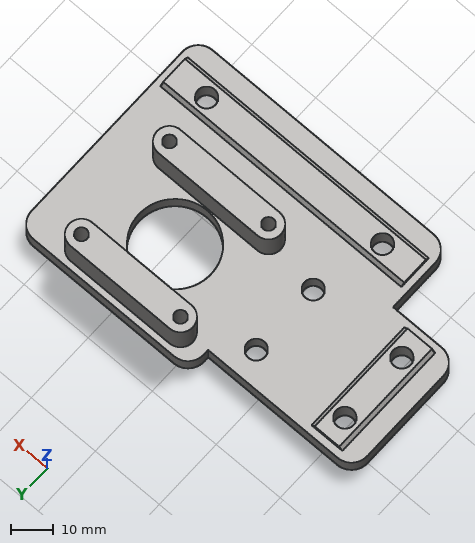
import cadquery as cq

plate_length = 99.2
plate_width = 63.0
plate_thickness = 5.0
corner_radius = 5.0
main_left = 20.1
upper_left = 45.3
tongue_front = 19.8
tongue_back = 56.5

rail_height = 1.0
rail_base_width = 9.6
rail_top_width = rail_base_width - 2 * rail_height
rail_edge_offset = 10.0
edge_margin = 1.9
front_rail_length = plate_length - main_left - 2 * edge_margin
front_rail_x = (main_left + plate_length) / 2
side_rail_length = 32.6
side_rail_y = (tongue_front + tongue_back) / 2

screw_diameter = 5.5
tongue_screw_spacing = 20.0
front_screw_spacing = 55.0
middle_screw_x = 37.0
middle_screw_y = 39.0

motor_x = 68.6
motor_y = 42.0
motor_opening_diameter = 22.5
motor_screw_spacing = 31.0
motor_screw_diameter = 3.5
bar_width = 7.7
bar_length = motor_screw_spacing + bar_width
bar_top = 15.0


def make_plate():
    """Stepped plate whose four outer corners and two tongue corners are rounded."""
    outline = [
        (main_left, 0),
        (plate_length, 0),
        (plate_length, plate_width),
        (upper_left, plate_width),
        (upper_left, tongue_back),
        (0, tongue_back),
        (0, tongue_front),
        (main_left, tongue_front),
    ]
    plate = cq.Workplane("XY").polyline(outline).close().extrude(plate_thickness)
    inner_corners = [(upper_left, tongue_back), (main_left, tongue_front)]
    for x, y in outline:
        if (x, y) not in inner_corners:
            edge = cq.selectors.NearestToPointSelector((x, y, plate_thickness / 2))
            plate = plate.edges("|Z").edges(edge).fillet(corner_radius)
    return plate


def make_rail(length):
    """Trapezoidal rail along X, centred on the origin in X and Y."""
    profile = [
        (-rail_base_width / 2, 0),
        (rail_base_width / 2, 0),
        (rail_top_width / 2, rail_height),
        (-rail_top_width / 2, rail_height),
    ]
    return cq.Workplane("YZ").polyline(profile).close().extrude(length / 2, both=True)


def make_standoff_bars():
    """Two round-ended bars, one on each side of the motor opening."""
    return (
        cq.Workplane("XY", origin=(motor_x, motor_y, 0))
        .rarray(1, motor_screw_spacing, 1, 2)
        .slot2D(bar_length, bar_width)
        .extrude(bar_top)
    )


def make_holes(center, spacing, counts, diameter):
    """Cylinders for a rectangular pattern of through holes."""
    return (
        cq.Workplane("XY", origin=(center[0], center[1], 0))
        .rarray(spacing, spacing, counts[0], counts[1])
        .circle(diameter / 2)
        .extrude(bar_top)
    )


front_rail = make_rail(front_rail_length)
front_rail = front_rail.translate((front_rail_x, rail_edge_offset, plate_thickness))
side_rail = make_rail(side_rail_length).rotate((0, 0, 0), (0, 0, 1), 90)
side_rail = side_rail.translate((rail_edge_offset, side_rail_y, plate_thickness))

result = make_plate().union(front_rail).union(side_rail).union(make_standoff_bars())

hole_patterns = [
    ((rail_edge_offset, side_rail_y), tongue_screw_spacing, (1, 2), screw_diameter),
    ((middle_screw_x, middle_screw_y), tongue_screw_spacing, (1, 2), screw_diameter),
    ((front_rail_x, rail_edge_offset), front_screw_spacing, (2, 1), screw_diameter),
    ((motor_x, motor_y), motor_screw_spacing, (2, 2), motor_screw_diameter),
    ((motor_x, motor_y), motor_screw_spacing, (1, 1), motor_opening_diameter),
]
for pattern in hole_patterns:
    result = result.cut(make_holes(*pattern))